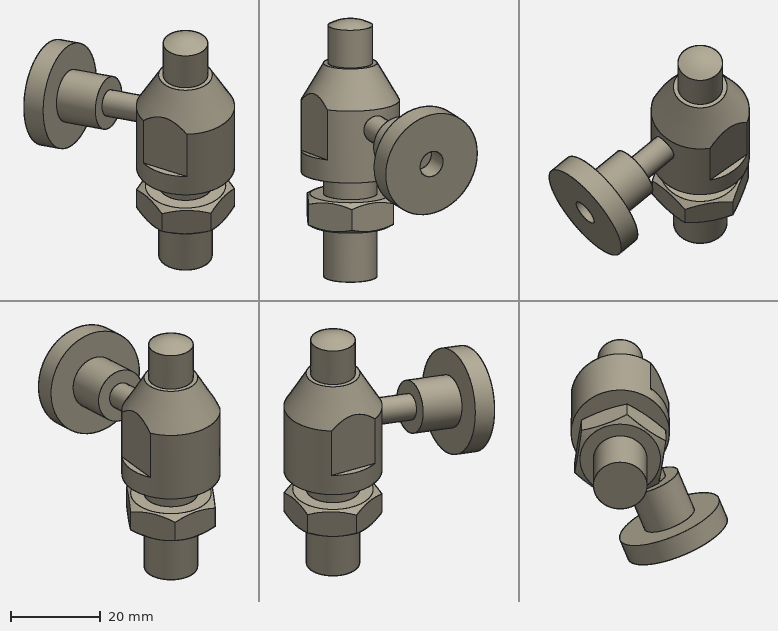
import cadquery as cq
import math

STEM_RADIUS = 6.0
STEM_LENGTH = 24.0
HOUSING_RADIUS = 11.0
HOUSING_LENGTH = 25.0
CONE_LENGTH = 8.5
CONE_TOP_RADIUS = STEM_RADIUS
PLUNGER_RADIUS = 5.0
PLUNGER_LENGTH = 10.0
DOME_RADIUS = 2 * PLUNGER_RADIUS

HOUSING_TOP = STEM_LENGTH + HOUSING_LENGTH
CONE_BASE = HOUSING_TOP - CONE_LENGTH
PLUNGER_TOP = HOUSING_TOP + PLUNGER_LENGTH
DOME_CENTER = PLUNGER_TOP - DOME_RADIUS
DOME_BASE = DOME_CENTER + math.sqrt(DOME_RADIUS**2 - PLUNGER_RADIUS**2)

ACROSS_FLATS = 19.0
FLAT_OFFSET = 5.0
FLAT_BOTTOM = STEM_LENGTH + FLAT_OFFSET

NUT_BOTTOM = 12.0
NUT_HEIGHT = 7.0
NUT_FACE_RADIUS = 9.0
NUT_CHAMFER_ANGLE = math.radians(30)

SCREW_RADIUS = 3.0
SCREW_TILT = math.radians(8)
SCREW_OFFSET = 12.0
SCREW_EXIT_HEIGHT = STEM_LENGTH + SCREW_OFFSET
KNOB_REACH = 23.67
HUB_RADIUS = 6.0
HUB_LENGTH = 10.0
FLANGE_RADIUS = 12.0
FLANGE_THICKNESS = 5.0
HUB_START = KNOB_REACH - FLANGE_THICKNESS - HUB_LENGTH
SCREW_END = HUB_START + HUB_LENGTH
SCREW_ROOT_DEPTH = 6.0


def screw_plane(distance):
    """Plane across the screw axis, at a distance outward from the housing surface."""
    outward = cq.Vector(-math.cos(SCREW_TILT), 0, -math.sin(SCREW_TILT))
    exit_point = cq.Vector(-HOUSING_RADIUS, 0, SCREW_EXIT_HEIGHT)
    return cq.Plane(
        origin=exit_point + outward * distance,
        xDir=cq.Vector(0, 1, 0),
        normal=outward,
    )


def turned_profile():
    """Stem, housing with its cone, and domed plunger as one revolved shape."""
    return (
        cq.Workplane("XZ")
        .moveTo(0, 0)
        .lineTo(STEM_RADIUS, 0)
        .lineTo(STEM_RADIUS, STEM_LENGTH)
        .lineTo(HOUSING_RADIUS, STEM_LENGTH)
        .lineTo(HOUSING_RADIUS, CONE_BASE)
        .lineTo(CONE_TOP_RADIUS, HOUSING_TOP)
        .lineTo(PLUNGER_RADIUS, HOUSING_TOP)
        .lineTo(PLUNGER_RADIUS, DOME_BASE)
        .radiusArc((0, PLUNGER_TOP), -DOME_RADIUS)
        .close()
        .revolve(360, (0, 0, 0), (0, 1, 0))
    )


def wrench_flat_cutter(side):
    """Block that cuts one wrench flat; side is +1 or -1 along Y."""
    cutter_depth = HOUSING_RADIUS
    return (
        cq.Workplane("XY", origin=(0, side * (ACROSS_FLATS + cutter_depth) / 2, FLAT_BOTTOM))
        .rect(2 * HOUSING_RADIUS, cutter_depth)
        .extrude(HOUSING_TOP - FLAT_BOTTOM)
    )


def make_body():
    body = turned_profile()
    for side in (-1, 1):
        body = body.cut(wrench_flat_cutter(side))
    screw = (
        cq.Workplane(screw_plane(-SCREW_ROOT_DEPTH))
        .circle(SCREW_RADIUS)
        .extrude(SCREW_ROOT_DEPTH + SCREW_END)
    )
    return body.union(screw)


def make_nut():
    """Hex nut with its corners on the Y axis, chamfered on both faces."""
    corner_radius = ACROSS_FLATS / math.sqrt(3)
    corner_drop = (corner_radius - NUT_FACE_RADIUS) * math.tan(NUT_CHAMFER_ANGLE)
    hexagon = (
        cq.Workplane("XY", origin=(0, 0, NUT_BOTTOM))
        .polygon(6, 2 * corner_radius)
        .extrude(NUT_HEIGHT)
        .rotate((0, 0, 0), (0, 0, 1), 90)
    )
    nut_top = NUT_BOTTOM + NUT_HEIGHT
    chamfered_ring = (
        cq.Workplane("XZ")
        .moveTo(STEM_RADIUS, NUT_BOTTOM)
        .lineTo(NUT_FACE_RADIUS, NUT_BOTTOM)
        .lineTo(corner_radius, NUT_BOTTOM + corner_drop)
        .lineTo(corner_radius, nut_top - corner_drop)
        .lineTo(NUT_FACE_RADIUS, nut_top)
        .lineTo(STEM_RADIUS, nut_top)
        .close()
        .revolve(360, (0, 0, 0), (0, 1, 0))
    )
    return hexagon.intersect(chamfered_ring)


def make_knob():
    """Hub and flange with a through hole; the screw fills the hole along the hub."""
    hub = (
        cq.Workplane(screw_plane(HUB_START))
        .circle(HUB_RADIUS)
        .circle(SCREW_RADIUS)
        .extrude(HUB_LENGTH)
    )
    flange = (
        cq.Workplane(screw_plane(HUB_START + HUB_LENGTH))
        .circle(FLANGE_RADIUS)
        .circle(SCREW_RADIUS)
        .extrude(FLANGE_THICKNESS)
    )
    return hub.union(flange)


body = make_body()
nut = make_nut()
knob = make_knob()

result = cq.Compound.makeCompound([body.solids().val(), nut.solids().val(), knob.solids().val()])